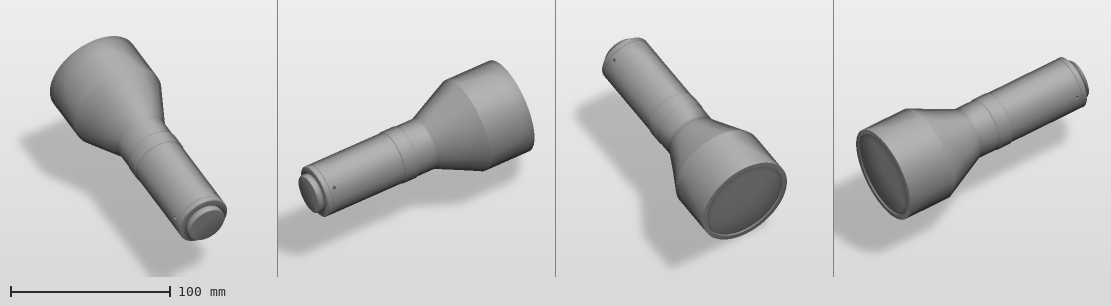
import cadquery as cq
import math

head_end = 32.1
cone_end = 61.7
ring_start = 76.0
ring_end = 85.6
joint_x = 137.9
flange_end = 141.5
total_length = 145.9

head_radius = 62.0 / 2
tube_radius = 17.0
ring_radius = 17.5
mount_radius = 12.7

edge_chamfer = 0.5
neck_relief_length = 0.9
neck_relief_drop = 0.1
joint_width = 0.6
joint_depth = 0.3

lens_radius = 27.9
lens_edge_depth = 1.2
lens_apex_depth = 0.3

screw_x = 134.5
screw_diameter = 2.3
screw_depth = 2.2
screw_count = 3
screw_start_angle = 43.5

neck_radius = tube_radius + neck_relief_drop


def turned_body():
    """Revolve the stepped outer outline, including the lens face."""
    outline = (
        cq.Workplane("XY")
        .moveTo(lens_apex_depth, 0)
        .lineTo(lens_edge_depth, lens_radius)
        .lineTo(0, lens_radius)
        .lineTo(0, head_radius)
        .lineTo(head_end, head_radius)
        .lineTo(cone_end, neck_radius)
        .lineTo(cone_end + neck_relief_length, tube_radius)
        .lineTo(ring_start - edge_chamfer, tube_radius)
        .lineTo(ring_start + edge_chamfer, ring_radius)
        .lineTo(ring_end - edge_chamfer, ring_radius)
        .lineTo(ring_end, tube_radius)
        .lineTo(joint_x - joint_width / 2, tube_radius)
        .lineTo(joint_x, tube_radius - joint_depth)
        .lineTo(joint_x + joint_width / 2, tube_radius)
        .lineTo(flange_end - edge_chamfer, tube_radius)
        .lineTo(flange_end, tube_radius - edge_chamfer)
        .lineTo(flange_end, mount_radius)
        .lineTo(total_length - edge_chamfer, mount_radius)
        .lineTo(total_length, mount_radius - edge_chamfer)
        .lineTo(total_length, 0)
        .close()
    )
    return outline.revolve(360, (0, 0, 0), (1, 0, 0))


def screw_hole(angle):
    """Blind radial cutter entering the tube at the given angle about X."""
    direction = cq.Vector(0, math.cos(math.radians(angle)), math.sin(math.radians(angle)))
    floor = cq.Vector(screw_x, 0, 0) + direction * (tube_radius - screw_depth)
    return cq.Solid.makeCylinder(screw_diameter / 2, 2 * screw_depth, floor, direction)


result = turned_body()
for index in range(screw_count):
    result = result.cut(cq.Workplane(obj=screw_hole(screw_start_angle + index * 360 / screw_count)))